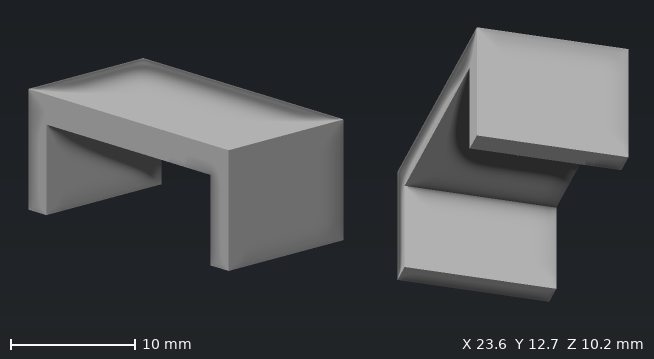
import cadquery as cq

length = 23.62
depth = 12.7
height = 10.16

leg_thickness = 2.12
top_thickness = 2.54

opening_width = length - 2 * leg_thickness
opening_height = height - top_thickness


def make_block():
    """Solid block centred on X and Y, standing on Z = 0."""
    return cq.Workplane("XY").box(length, depth, height, centered=(True, True, False))


def make_opening():
    """Rectangular channel, open at the bottom, that leaves the two legs."""
    return cq.Workplane("XY").box(opening_width, depth, opening_height, centered=(True, True, False))


result = make_block().cut(make_opening())